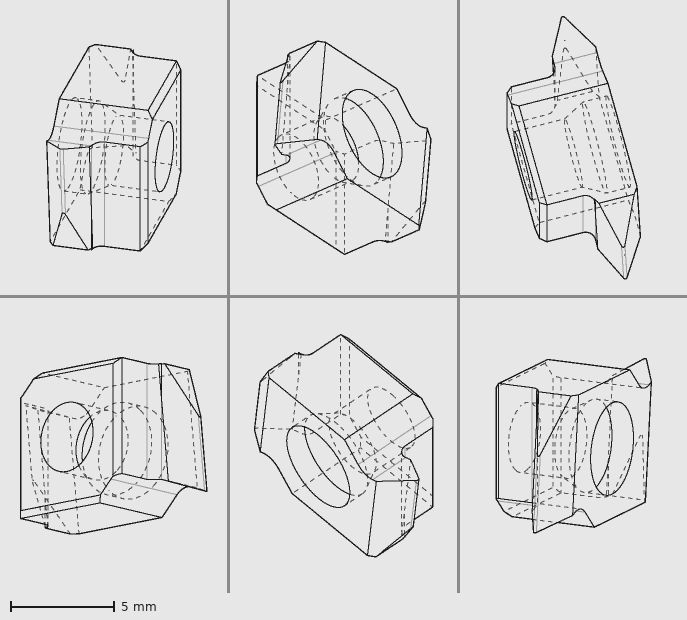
import cadquery as cq
import math


def cosd(degrees):
    return math.cos(math.radians(degrees))


def sind(degrees):
    return math.sin(math.radians(degrees))


def tand(degrees):
    return math.tan(math.radians(degrees))


THICKNESS = 4.76
HEIGHT = 7.0
LENGTH = 11.8
SHOULDER_Y = 3.325
BACK_CHAMFER = 0.3

TIP_Z = 3.0
RAKE_ANGLE = 20.0
CLEARANCE_ANGLE = 6.2
RELIEF_ANGLE = 30.0
RELIEF_FOOT_Y = 3.895
FLUTE_TOP_Y = 1.89
FLUTE_ANGLE = 45.0
FLUTE_RADIUS = 1.0

TOOTH_WIDTH = 2.16
STEP_FILLET = 0.5
TIP_X = 1.2
TIP_RADIUS = 0.1
SEAT_FLANK_ANGLE = 35.0
BACK_FLANK_ANGLE = 30.0

BORE_DIAMETER = 3.42
HEAD_DIAMETER = 4.56
HEAD_DEPTH = 1.17
CONE_DEPTH = 1.07

MARGIN = 1.0

half_height = HEIGHT / 2
tip_y = LENGTH / 2


def half_turn(shape):
    return shape.rotate((0, 0, 0), (1, 0, 0), 180)


def opposite(point):
    return (-point[0], -point[1])


def make_blank():
    """Side outline in YZ, with chip flutes and relief faces, extruded along X."""
    wall_slope = tand(FLUTE_ANGLE)
    rake_slope = tand(RAKE_ANGLE)
    rake_z_at_flute_top = TIP_Z - (tip_y - FLUTE_TOP_Y) * rake_slope
    corner_run = (half_height - rake_z_at_flute_top) / (wall_slope + rake_slope)
    corner_y = -FLUTE_TOP_Y - corner_run
    corner_z = half_height - corner_run * wall_slope

    tangent = FLUTE_RADIUS * tand((FLUTE_ANGLE + RAKE_ANGLE) / 2)
    wall_end = (corner_y + tangent * cosd(FLUTE_ANGLE), corner_z + tangent * sind(FLUTE_ANGLE))
    rake_start = (corner_y - tangent * cosd(RAKE_ANGLE), corner_z + tangent * sind(RAKE_ANGLE))
    center_y = wall_end[0] - FLUTE_RADIUS * sind(FLUTE_ANGLE)
    center_z = wall_end[1] + FLUTE_RADIUS * cosd(FLUTE_ANGLE)
    flute_bottom = (center_y, center_z - FLUTE_RADIUS)

    clearance_foot_y = tip_y - (TIP_Z + half_height) * tand(CLEARANCE_ANGLE)
    heel_rise = (clearance_foot_y - RELIEF_FOOT_Y) / (tand(RELIEF_ANGLE) - tand(CLEARANCE_ANGLE))
    heel = (-RELIEF_FOOT_Y - heel_rise * tand(RELIEF_ANGLE), heel_rise - half_height)

    flute_top = (-FLUTE_TOP_Y, half_height)
    tip = (-tip_y, TIP_Z)
    relief_foot = (-RELIEF_FOOT_Y, -half_height)
    return (
        cq.Workplane("YZ")
        .moveTo(*flute_top)
        .lineTo(*wall_end)
        .threePointArc(flute_bottom, rake_start)
        .lineTo(*tip)
        .lineTo(*heel)
        .lineTo(*relief_foot)
        .lineTo(*opposite(flute_top))
        .lineTo(*opposite(wall_end))
        .threePointArc(opposite(flute_bottom), opposite(rake_start))
        .lineTo(*opposite(tip))
        .lineTo(*opposite(heel))
        .lineTo(*opposite(relief_foot))
        .close()
        .extrude(THICKNESS)
    )


def step_waste():
    """Material behind the -Y tooth, down to the shoulder, with a filleted corner."""
    outer_y = -tip_y - MARGIN
    length_y = -SHOULDER_Y - outer_y
    return (
        cq.Workplane("XY")
        .box(THICKNESS, length_y, HEIGHT + 2 * MARGIN, centered=(False, False, True))
        .translate((TOOTH_WIDTH, outer_y, 0))
        .edges("|Z and <X and >Y")
        .fillet(STEP_FILLET)
    )


def flank_waste():
    """Material outside the V shaped -Y tooth, swept down along the clearance lean."""
    start_z = half_height + MARGIN
    drop = HEIGHT + 2 * MARGIN
    lean = tand(CLEARANCE_ANGLE)
    start_tip_y = -tip_y - (start_z - TIP_Z) * lean
    outer_y = start_tip_y - MARGIN

    center_y = start_tip_y + TIP_RADIUS
    seat_tangent = (
        TIP_X - TIP_RADIUS * cosd(SEAT_FLANK_ANGLE),
        center_y - TIP_RADIUS * sind(SEAT_FLANK_ANGLE),
    )
    back_tangent = (
        TIP_X + TIP_RADIUS * cosd(BACK_FLANK_ANGLE),
        center_y - TIP_RADIUS * sind(BACK_FLANK_ANGLE),
    )
    seat_end_y = seat_tangent[1] + (seat_tangent[0] + MARGIN) / tand(SEAT_FLANK_ANGLE)
    back_end_y = back_tangent[1] + (TOOTH_WIDTH - back_tangent[0]) / tand(BACK_FLANK_ANGLE)

    outline = (
        cq.Workplane("XY", origin=(0, 0, start_z))
        .moveTo(-MARGIN, outer_y)
        .lineTo(-MARGIN, seat_end_y)
        .lineTo(*seat_tangent)
        .threePointArc((TIP_X, start_tip_y), back_tangent)
        .lineTo(TOOTH_WIDTH, back_end_y)
        .lineTo(TOOTH_WIDTH, outer_y)
        .close()
        .val()
    )
    return cq.Workplane(cq.Solid.extrudeLinear(outline, [], cq.Vector(0, drop * lean, -drop)))


def back_envelope():
    """Block whose chamfered +X edges trim the back face; its other sides clear the teeth."""
    front = cq.Workplane("XY").box(
        TOOTH_WIDTH + STEP_FILLET, LENGTH + MARGIN, HEIGHT, centered=(False, True, True)
    )
    back = (
        cq.Workplane("XY")
        .box(THICKNESS, 2 * SHOULDER_Y, HEIGHT, centered=(False, True, True))
        .faces(">X")
        .chamfer(BACK_CHAMFER)
    )
    return front.union(back)


def screw_hole():
    """Bore through X with a head recess and conical seat from the X = 0 face."""
    bore_radius = BORE_DIAMETER / 2
    head_radius = HEAD_DIAMETER / 2
    return (
        cq.Workplane("XY")
        .polyline([
            (0, 0),
            (0, head_radius),
            (HEAD_DEPTH, head_radius),
            (HEAD_DEPTH + CONE_DEPTH, bore_radius),
            (THICKNESS, bore_radius),
            (THICKNESS, 0),
        ])
        .close()
        .revolve(360, (0, 0, 0), (1, 0, 0))
    )


result = make_blank().intersect(back_envelope())
for waste in (step_waste(), flank_waste()):
    result = result.cut(waste).cut(half_turn(waste))
result = result.cut(screw_hole())